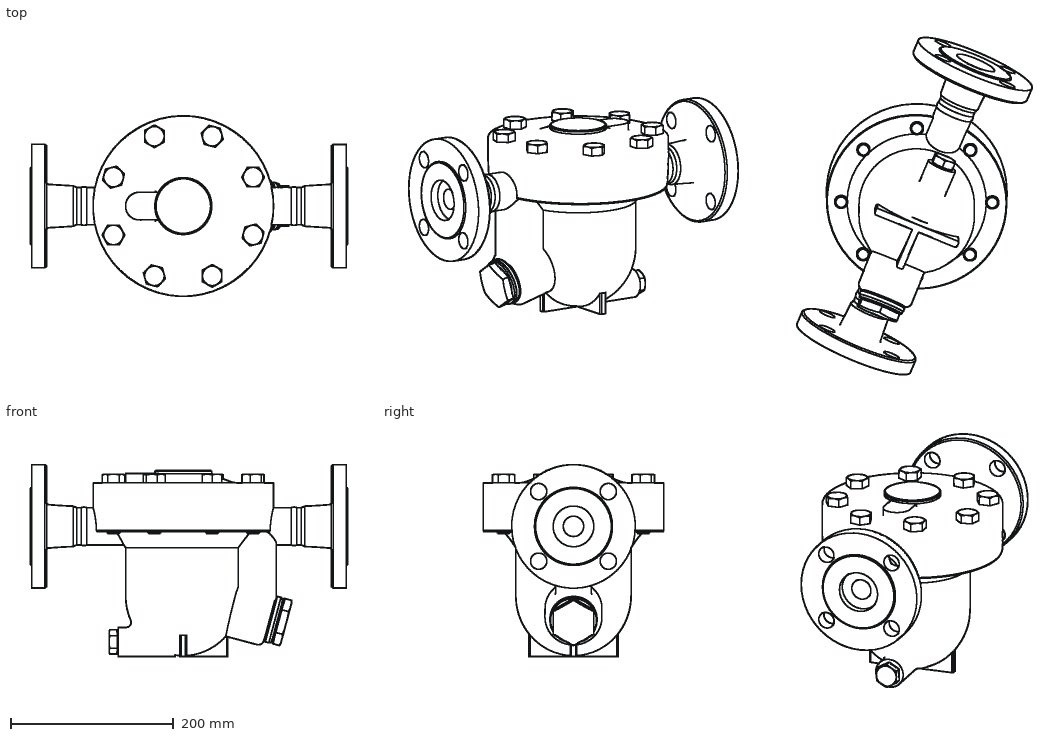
import cadquery as cq
import math


flange_dia = 222.0
flange_top_z = 53.5
parting_z = 26.2
flange_bottom_z = -6.5
flange_draft = 2.0
flange_edge = 1.5
flange_bottom_inset = 0.8
neck_bottom_z = -26.0
neck_top_radius = 85.5
body_radius = 71.0
bowl_start_z = -85.0
bowl_depth = 74.0
base_z = -160.0

dome_radius = 68.0
dome_cone_radius = 56.0
dome_top_radius = 39.0
dome_slope = 22.0
cap_dia = 70.0
cap_top_z = 69.0
cap_edge = 1.5
cap_root = 2.0
lug_width = 34.0
lug_reach = 71.0
lug_top_z = 65.0
lug_fillet = 2.0

bolt_count = 8
bolt_circle_radius = 92.8
bolt_head_flats = 24.0
bolt_head_height = 10.6
bolt_dia = 16.0
bolt_end_z = -8.8
bolt_end_chamfer = 1.5
hex_chamfer_rise = 1.0
hex_corner_clearance = 0.01

inlet_x = -188.0
outlet_x = 202.0
pipe_flange_dia = 152.0
pipe_flange_thickness = 20.0
pipe_flange_edge = 2.0
raised_face_dia = 96.0
raised_face_top_dia = 93.0
raised_face_height = 1.6
hub_root_dia = 58.0
hub_large_dia = 53.5
hub_small_dia = 50.0
hub_root_length = 3.4
hub_end = 52.5
pipe_start = 57.0
bead_start = 62.5
bead_end = 69.5
bead_height = 0.8
pipe_dia = 46.0
socket_dia = 50.0
socket_depth = 10.0
bore_dia = 25.0
flange_hole_count = 4
flange_hole_dia = 20.0
flange_hole_circle_radius = 60.5

passage_width = 44.0
passage_reach = 114.4
passage_corner = 13.0
passage_fillet = 5.5

strainer_tilt = 15.0
strainer_boss_dia = 70.0
strainer_boss_end = 103.0
strainer_boss_round = 7.0
strainer_collar_dia = 58.0
strainer_collar_start = 112.0
strainer_collar_end = 116.5
strainer_cap_dia = 56.5
strainer_cap_end = 119.5
strainer_neck_dia = 46.0
strainer_hex_start = 121.5
strainer_hex_end = 131.0
strainer_hex_flats = 50.0

drain_dia = 36.0
drain_x = -80.2
drain_inner_x = -10.0
drain_fillet = 6.0
drain_neck_dia = 25.0
drain_neck_length = 1.0
plug_flats = 26.0
plug_length = 10.0

foot_reach = 54.8
foot_top_z = -133.5
foot_thickness = 8.4
foot_edge = 1.5


def revolve_x(profile):
    """Solid of revolution about X from a closed profile in XY (Y is the radius)."""
    return profile.close().revolve(360, (0, 0, 0), (1, 0, 0))


def hex_head(flats, height, start_angle):
    """Hexagon standing on Z = 0, with its upper corners bevelled by a cone."""
    corner_radius = flats / math.sqrt(3)
    bevel_radius = corner_radius + hex_corner_clearance
    hexagon = cq.Workplane("XY").polygon(6, 2 * corner_radius).extrude(height)
    hexagon = hexagon.rotate((0, 0, 0), (0, 0, 1), start_angle)
    bevel = (
        cq.Workplane("XY").circle(bevel_radius).extrude(height)
        .faces(">Z").chamfer(hex_chamfer_rise, bevel_radius - flats / 2)
    )
    return hexagon.intersect(bevel)


def make_cover():
    """Bolted cover: a disc with a conical dome, a round cap and a lug on the -X side."""
    height = flange_top_z - parting_z
    disc = cq.Workplane("XY").workplane(offset=parting_z).circle(flange_dia / 2).extrude(height)
    disc = disc.faces(">Z").edges().fillet(flange_edge)
    cap_radius = cap_dia / 2
    slope = math.radians(dome_slope)
    blend_radius = (dome_radius - dome_cone_radius) / math.sin(slope)
    blend_mid_radius = dome_radius - blend_radius * math.sin(slope / 2)
    blend_mid_z = flange_top_z + blend_radius * (1 - math.cos(slope / 2))
    cone_bottom_z = flange_top_z + blend_radius * (1 - math.cos(slope))
    cone_top_z = cone_bottom_z + (dome_cone_radius - dome_top_radius) * math.tan(slope)
    dome = (
        cq.Workplane("XZ")
        .moveTo(0, parting_z)
        .lineTo(dome_radius, parting_z)
        .lineTo(dome_radius, flange_top_z)
        .threePointArc((blend_mid_radius, blend_mid_z), (dome_cone_radius, cone_bottom_z))
        .lineTo(dome_top_radius, cone_top_z)
        .lineTo(0, cone_top_z)
        .close()
        .revolve(360, (0, 0, 0), (0, 1, 0))
    )
    cap = (
        cq.Workplane("XZ")
        .moveTo(0, cone_top_z)
        .lineTo(dome_top_radius, cone_top_z)
        .lineTo(cap_radius, cone_top_z + cap_root)
        .lineTo(cap_radius, cap_top_z - cap_edge)
        .lineTo(cap_radius - cap_edge, cap_top_z)
        .lineTo(0, cap_top_z)
        .close()
        .revolve(360, (0, 0, 0), (0, 1, 0))
    )
    end_radius = lug_width / 2
    end_x = end_radius - lug_reach
    lug = (
        cq.Workplane("XY").workplane(offset=parting_z)
        .moveTo(0, -end_radius)
        .lineTo(end_x, -end_radius)
        .threePointArc((-lug_reach, 0), (end_x, end_radius))
        .lineTo(0, end_radius)
        .close()
        .extrude(lug_top_z - parting_z)
    )
    cover = disc.union(dome).union(lug)
    foot_zone = cq.selectors.BoxSelector(
        (-lug_reach - lug_fillet, -end_radius - lug_fillet, flange_top_z - lug_fillet),
        (lug_fillet, end_radius + lug_fillet, cone_top_z + lug_fillet / 2),
        boundingbox=True,
    )
    return cover.edges(foot_zone).fillet(lug_fillet).union(cap)


def make_lower_flange():
    """Body flange, circular at the parting face and slightly elliptical underneath."""
    radius = flange_dia / 2
    short_radius = radius - flange_draft
    edge_z = flange_bottom_z + flange_edge
    drafted_wall = (
        cq.Workplane("XY").workplane(offset=parting_z).circle(radius)
        .workplane(offset=edge_z - parting_z).ellipse(short_radius, radius)
        .loft(ruled=True)
    )
    bevel = (
        cq.Workplane("XY").workplane(offset=edge_z).ellipse(short_radius, radius)
        .workplane(offset=-flange_edge)
        .ellipse(short_radius - flange_bottom_inset, radius - flange_bottom_inset)
        .loft(ruled=True)
    )
    return drafted_wall.union(bevel)


def make_bowl():
    """Tapered neck, straight wall and rounded bottom of the body."""
    return (
        cq.Workplane("XZ")
        .moveTo(0, parting_z)
        .lineTo(neck_top_radius, parting_z)
        .lineTo(neck_top_radius, flange_bottom_z)
        .lineTo(body_radius, neck_bottom_z)
        .lineTo(body_radius, bowl_start_z)
        .ellipseArc(body_radius, bowl_depth, -90, 0, startAtCurrent=True, sense=-1)
        .close()
        .revolve(360, (0, 0, 0), (0, 1, 0))
    )


def make_bolts():
    """Hexagon bolts that pass through both flanges, evenly spaced about Z."""
    pitch = 360 / bolt_count
    head = hex_head(bolt_head_flats, bolt_head_height, -pitch / 2)
    head = head.translate((0, 0, flange_top_z))
    shank = (
        cq.Workplane("XY").workplane(offset=bolt_end_z)
        .circle(bolt_dia / 2).extrude(flange_top_z - bolt_end_z)
        .faces("<Z").chamfer(bolt_end_chamfer)
    )
    bolt = head.union(shank).translate((bolt_circle_radius, 0, 0))
    return [bolt.rotate((0, 0, 0), (0, 0, 1), (i + 0.5) * pitch) for i in range(bolt_count)]


def make_pipe(length):
    """Flanged pipe along +X, with its connection face at X = 0."""
    flange_radius = pipe_flange_dia / 2
    pipe_radius = pipe_dia / 2
    root_end = pipe_flange_thickness + hub_root_length
    blend_mid = 1 - math.sqrt(0.5)
    root_mid_x = pipe_flange_thickness + hub_root_length * blend_mid
    root_mid_radius = (hub_large_dia + (hub_root_dia - hub_large_dia) * blend_mid) / 2
    bead_mid_x = (bead_start + bead_end) / 2
    pipe = revolve_x(
        cq.Workplane("XY")
        .lineTo(0, raised_face_top_dia / 2)
        .lineTo(raised_face_height, raised_face_dia / 2)
        .lineTo(raised_face_height, flange_radius)
        .lineTo(pipe_flange_thickness - pipe_flange_edge, flange_radius)
        .lineTo(pipe_flange_thickness, flange_radius - pipe_flange_edge)
        .lineTo(pipe_flange_thickness, hub_root_dia / 2)
        .threePointArc((root_mid_x, root_mid_radius), (root_end, hub_large_dia / 2))
        .lineTo(hub_end, hub_small_dia / 2)
        .lineTo(pipe_start, pipe_radius)
        .lineTo(bead_start, pipe_radius)
        .threePointArc((bead_mid_x, pipe_radius + bead_height), (bead_end, pipe_radius))
        .lineTo(length, pipe_radius)
        .lineTo(length, 0)
    )
    holes = (
        cq.Workplane("YZ")
        .polarArray(flange_hole_circle_radius, 180 / flange_hole_count, 360, flange_hole_count)
        .circle(flange_hole_dia / 2).extrude(pipe_flange_thickness)
    )
    socket = cq.Workplane("YZ").circle(socket_dia / 2).extrude(socket_depth)
    bore = cq.Workplane("YZ").circle(bore_dia / 2).extrude(pipe_start)
    return pipe.cut(holes).cut(socket).cut(bore)


def make_strainer():
    """Strainer boss, collar and cap rim, turned about X from the bowl centre."""
    boss_radius = strainer_boss_dia / 2
    collar_radius = strainer_collar_dia / 2
    round_offset = strainer_boss_round * math.sqrt(0.5)
    return revolve_x(
        cq.Workplane("XY")
        .lineTo(0, boss_radius)
        .lineTo(strainer_boss_end, boss_radius)
        .threePointArc(
            (
                strainer_boss_end + round_offset,
                boss_radius - strainer_boss_round + round_offset,
            ),
            (strainer_boss_end + strainer_boss_round, boss_radius - strainer_boss_round),
        )
        .lineTo(strainer_collar_start, boss_radius - strainer_boss_round)
        .lineTo(strainer_collar_start, collar_radius)
        .lineTo(strainer_collar_end, collar_radius)
        .lineTo(strainer_collar_end, strainer_cap_dia / 2)
        .lineTo(strainer_cap_end, strainer_cap_dia / 2)
        .lineTo(strainer_cap_end, strainer_neck_dia / 2)
        .lineTo(strainer_hex_start, strainer_neck_dia / 2)
        .lineTo(strainer_hex_start, 0)
    )


def make_strainer_hex():
    """Hexagon of the strainer cap, along +X."""
    plug = hex_head(strainer_hex_flats, strainer_hex_end - strainer_hex_start, 0)
    return plug.rotate((0, 0, 0), (0, 1, 0), 90).translate((strainer_hex_start, 0, 0))


def place_strainer(shape):
    """Tilt a shape built along +X downwards and move it to the bowl centre."""
    return shape.rotate((0, 0, 0), (0, 1, 0), strainer_tilt).translate((0, 0, bowl_start_z))


def make_outlet_passage():
    """Upright passage standing on the strainer boss, blended along their junction."""
    bottom_z = bowl_start_z - passage_reach * math.tan(math.radians(strainer_tilt))
    passage = (
        cq.Workplane("XY").workplane(offset=bottom_z)
        .rect(passage_reach, passage_width).extrude(-bottom_z)
        .translate((passage_reach / 2, 0, 0))
        .edges("|Z and >X").fillet(passage_corner)
    )
    joined = place_strainer(make_strainer()).union(passage)
    half_width = passage_width / 2 + passage_fillet
    junction_zone = cq.selectors.BoxSelector(
        (passage_corner, -half_width, bottom_z),
        (passage_reach - 2 * passage_corner, half_width, -passage_corner),
    )
    return joined.edges(junction_zone).fillet(passage_fillet)


def make_bowl_with_drain():
    """Bowl with the horizontal drain boss blended into its -X side."""
    radius = drain_dia / 2
    axis_z = base_z + radius
    boss = (
        cq.Workplane("YZ").workplane(offset=drain_x).center(0, axis_z)
        .circle(radius).extrude(drain_inner_x - drain_x)
    )
    bowl = make_bowl().union(boss)
    boss_zone = cq.selectors.BoxSelector(
        (drain_x, -radius, base_z),
        (drain_inner_x, radius, base_z + drain_dia),
    )
    junction = cq.selectors.TypeSelector("BSPLINE") & boss_zone
    return bowl.edges(junction).fillet(drain_fillet)


def make_drain_plug():
    """Hexagon plug with a short round neck, on the end of the drain boss."""
    axis_z = base_z + drain_dia / 2
    neck = cq.Workplane("XY").circle(drain_neck_dia / 2).extrude(drain_neck_length)
    head = hex_head(plug_flats, plug_length, 0).translate((0, 0, drain_neck_length))
    return neck.union(head).rotate((0, 0, 0), (0, 1, 0), -90).translate((drain_x, 0, axis_z))


def make_feet():
    """Three upright plates under the bowl, towards +X, -Y and +Y."""
    height = foot_top_z - base_z
    foot = (
        cq.Workplane("XY").workplane(offset=base_z)
        .rect(foot_reach, foot_thickness).extrude(height)
        .translate((foot_reach / 2, 0, 0))
        .edges(">X and |Z").chamfer(foot_edge)
    )
    feet = foot
    for angle in (-90, 90):
        feet = feet.union(foot.rotate((0, 0, 0), (0, 0, 1), angle))
    return feet


result = make_bowl_with_drain().union(make_outlet_passage())
result = result.union(make_lower_flange()).union(make_cover())
result = result.union(make_pipe(-inlet_x).translate((inlet_x, 0, 0)))
outlet = make_pipe(outlet_x).rotate((0, 0, 0), (0, 0, 1), 180)
result = result.union(outlet.translate((outlet_x, 0, 0)))
result = result.union(place_strainer(make_strainer_hex()))
result = result.union(make_drain_plug()).union(make_feet())
for bolt in make_bolts():
    result = result.union(bolt)